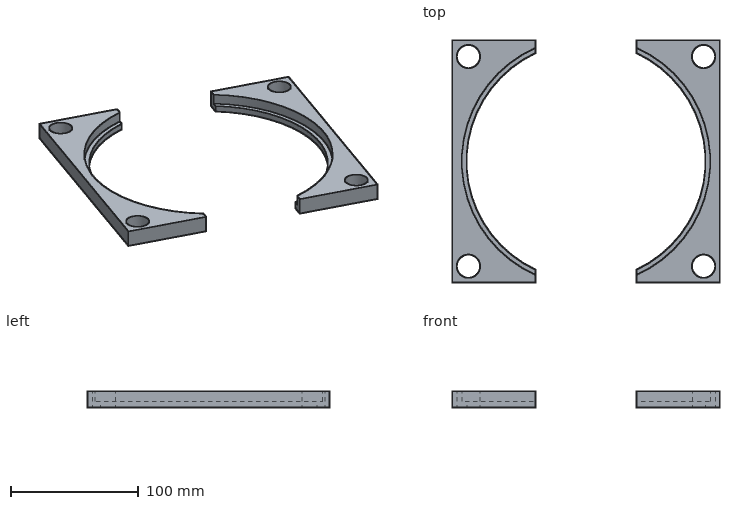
import cadquery as cq

length_x = 210.0
width_y = 190.0
thickness = 13.0

end_gap = 79.0

seat_radius = 97.5
ledge_radius = 93.7
ledge_thickness = 5.0

hole_diameter = 18.0
hole_edge_offset = 12.8

bracket_width = (length_x - end_gap) / 2
bracket_center_x = (length_x - bracket_width) / 2
hole_x = length_x / 2 - hole_edge_offset
hole_y = width_y / 2 - hole_edge_offset


def make_bracket(side):
    """One bracket; side is -1 for the -X bracket and +1 for the +X bracket."""
    plate = (
        cq.Workplane("XY")
        .center(side * bracket_center_x, 0)
        .rect(bracket_width, width_y)
        .extrude(thickness)
    )

    opening = cq.Workplane("XY").circle(ledge_radius).extrude(thickness)
    seat = (
        cq.Workplane("XY", origin=(0, 0, ledge_thickness))
        .circle(seat_radius)
        .extrude(thickness - ledge_thickness)
    )

    holes = (
        cq.Workplane("XY")
        .pushPoints([(side * hole_x, -hole_y), (side * hole_x, hole_y)])
        .circle(hole_diameter / 2)
        .extrude(thickness)
    )
    return plate.cut(opening).cut(seat).cut(holes)


brackets = [make_bracket(side) for side in (-1, 1)]

result = cq.Compound.makeCompound([bracket.val() for bracket in brackets])